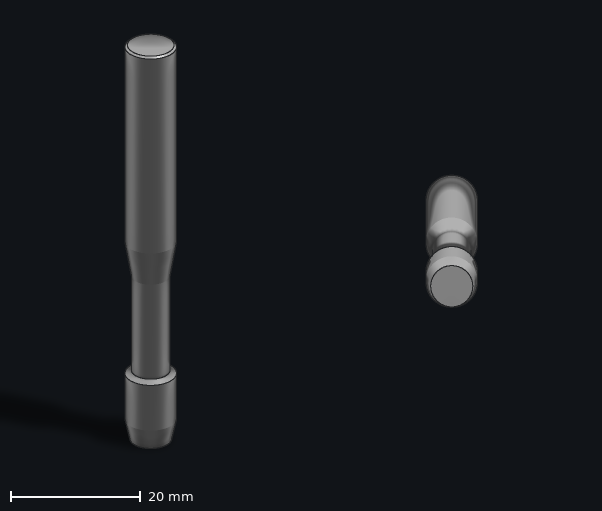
import cadquery as cq

shank_diameter = 8.0
neck_diameter = 6.0
tip_diameter = 6.5

total_length = 69.1
tip_cone_length = 3.5
land_length = 8.0
shoulder_height = 0.55
taper_length = 6.0
shank_length = 34.5

chamfer_width = 0.4
chamfer_height = 0.3

shank_radius = shank_diameter / 2
neck_radius = neck_diameter / 2
tip_radius = tip_diameter / 2

land_top = tip_cone_length + land_length
head_length = land_top + shoulder_height
taper_top = total_length - shank_length
neck_top = taper_top - taper_length


def turned_body(outline):
    """Revolve a closed (radius, height) outline about the Z axis."""
    return cq.Workplane("XZ").polyline(outline).close().revolve(360, (0, 0, 0), (0, 1, 0))


head = turned_body([
    (0, 0),
    (tip_radius, 0),
    (shank_radius, tip_cone_length),
    (shank_radius, land_top),
    (neck_radius, head_length),
    (0, head_length),
])

shank = turned_body([
    (0, head_length),
    (neck_radius, head_length),
    (neck_radius, neck_top),
    (shank_radius, taper_top),
    (shank_radius, total_length - chamfer_height),
    (shank_radius - chamfer_width, total_length),
    (0, total_length),
])

result = cq.Compound.makeCompound([head.val(), shank.val()])